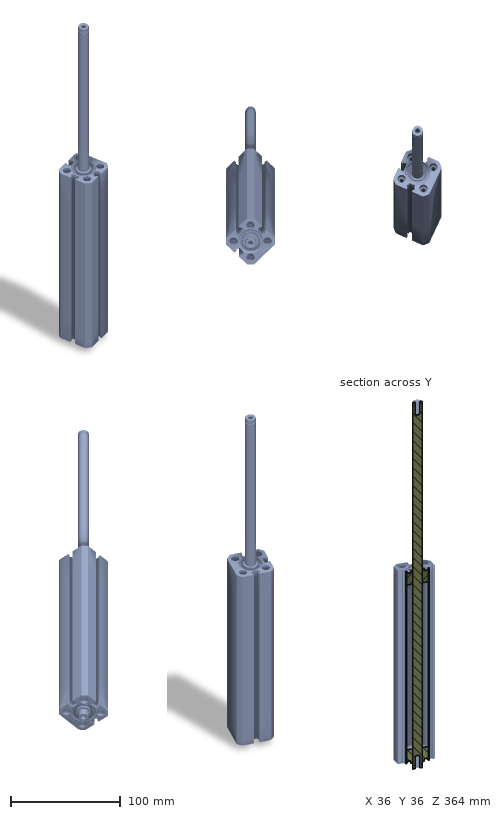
import cadquery as cq
import math

body_width = 36.0
body_length = 192.0
rod_length = 364.0
lower_stickout = 6.0
body_bottom = -body_length / 2
body_top = body_length / 2
rod_bottom = body_bottom - lower_stickout
rod_top = rod_bottom + rod_length

corner_radius = 22.5
bolt_pitch = 22.0
bolt_hole_diameter = 3.4
counterbore_diameter = 7.4
counterbore_depth = 7.0
bore_diameter = 20.8
bore_mouth_diameter = 22.8

slot_mouth_width = 5.4
slot_undercut_width = 7.4
slot_lip = 2.2
front_slot_floor = 12.4
side_slot_floor = 11.6
side_undercut_end = 13.4

ring_recess = 1.5
ring_thickness = 1.0
ring_outer_diameter = 22.0
ring_inner_diameter = 18.6
ring_gap_angle = 30.0
lug_center_radius = 9.5
lug_center_angle = 31.0
lug_diameter = 3.6
lug_hole_diameter = 1.2
cover_length = 12.0
cover_boss_diameter = 14.2

rod_diameter = 10.0
neck_diameter = 9.6
neck_flats_width = 9.0
neck_length = 4.2
taper_length = 0.3
tip_chamfer = 0.2
thread_diameter = 4.2
thread_entry_diameter = 5.4
thread_depth = 12.0
drill_point_angle = 118.0


def cylinder(diameter, bottom, top):
    """A cylinder on the Z axis between two heights."""
    return cq.Workplane("XY", origin=(0, 0, bottom)).circle(diameter / 2).extrude(top - bottom)


def cone(bottom_diameter, top_diameter, bottom, top):
    """A truncated cone on the Z axis between two heights."""
    return (
        cq.Workplane("XY", origin=(0, 0, bottom))
        .circle(bottom_diameter / 2)
        .workplane(offset=top - bottom)
        .circle(top_diameter / 2)
        .loft()
    )


def mirrored(body):
    """The same body at the other end of the housing."""
    return body.mirror("XY")


def slot(floor, undercut_end):
    """A sensor slot in the -Y face, as long as the housing."""
    outside = body_width / 2
    mouth = (
        cq.Workplane("XY", origin=(0, 0, body_bottom))
        .center(0, -(outside + floor) / 2)
        .rect(slot_mouth_width, outside - floor)
        .extrude(body_length)
    )
    undercut_start = outside - slot_lip
    undercut = (
        cq.Workplane("XY", origin=(0, 0, body_bottom))
        .center(0, -(undercut_start + undercut_end) / 2)
        .rect(slot_undercut_width, undercut_start - undercut_end)
        .extrude(body_length)
    )
    return mouth.union(undercut)


def make_housing():
    block = cq.Workplane("XY").box(body_width, body_width, body_length)
    block = block.intersect(cylinder(2 * corner_radius, body_bottom, body_top))
    block = block.cut(slot(front_slot_floor, front_slot_floor))
    side_slot = slot(side_slot_floor, side_undercut_end)
    for turn in (-90, 90):
        block = block.cut(side_slot.rotate((0, 0, 0), (0, 0, 1), turn))

    for face in (">Z", "<Z"):
        block = (
            block.faces(face)
            .workplane(origin=(0, 0, 0))
            .rect(bolt_pitch, bolt_pitch, forConstruction=True)
            .vertices()
            .cboreHole(bolt_hole_diameter, counterbore_diameter, counterbore_depth)
        )

    block = block.cut(cylinder(bore_diameter, body_bottom, body_top))
    mouth_chamfer = (bore_mouth_diameter - bore_diameter) / 2
    mouth = cone(bore_diameter, bore_mouth_diameter, body_top - mouth_chamfer, body_top)
    block = block.cut(mouth).cut(mirrored(mouth))
    ring_top = body_top - ring_recess
    groove = cylinder(ring_outer_diameter, ring_top - ring_thickness, ring_top)
    return block.cut(groove).cut(mirrored(groove))


def make_ring():
    """Upper retaining ring, open towards -Y, with a lug and plier hole at each end."""
    top = body_top - ring_recess
    bottom = top - ring_thickness
    ring = cylinder(ring_outer_diameter, bottom, top).cut(cylinder(ring_inner_diameter, bottom, top))
    lug_x = lug_center_radius * math.sin(math.radians(lug_center_angle))
    lug_y = -lug_center_radius * math.cos(math.radians(lug_center_angle))
    lug_places = [(-lug_x, lug_y), (lug_x, lug_y)]
    plane = cq.Workplane("XY", origin=(0, 0, bottom))
    ring = ring.union(plane.pushPoints(lug_places).circle(lug_diameter / 2).extrude(ring_thickness))
    ring = ring.intersect(cylinder(ring_outer_diameter, bottom, top))
    ring = ring.cut(plane.pushPoints(lug_places).circle(lug_hole_diameter / 2).extrude(ring_thickness))

    half_gap = body_width * math.tan(math.radians(ring_gap_angle / 2))
    gap = plane.polyline([(0, 0), (-half_gap, -body_width), (half_gap, -body_width)]).close()
    return ring.cut(gap.extrude(ring_thickness))


def make_cover():
    """Upper rod cover, seated against the retaining ring, with a boss flush with the housing end."""
    seat = body_top - ring_recess - ring_thickness
    bottom = seat - cover_length
    cover = cylinder(bore_diameter, bottom, seat)
    cover = cover.union(cylinder(cover_boss_diameter, seat, body_top))
    return cover.cut(cylinder(rod_diameter, bottom, body_top))


def make_rod_end():
    """Upper end of the rod: chamfered neck with two flats, and a taper down to the rod."""
    neck_bottom = rod_top - neck_length
    neck = cylinder(neck_diameter, neck_bottom, rod_top).faces(">Z").chamfer(tip_chamfer)
    across_flats = cq.Workplane("XY").box(
        neck_diameter, neck_flats_width, neck_length, centered=(True, True, False)
    )
    neck = neck.intersect(across_flats.translate((0, 0, neck_bottom)))
    taper = cone(rod_diameter, neck_diameter, neck_bottom - taper_length, neck_bottom)
    return neck.union(taper)


def make_center_hole():
    """Threaded hole in the upper end of the rod, with an entry chamfer and a drill point."""
    thread_radius = thread_diameter / 2
    entry_radius = thread_entry_diameter / 2
    entry_bottom = rod_top - (entry_radius - thread_radius)
    full_depth = rod_top - thread_depth
    drill_point = full_depth - thread_radius / math.tan(math.radians(drill_point_angle / 2))
    half_profile = (
        cq.Workplane("XZ")
        .moveTo(0, rod_top)
        .lineTo(entry_radius, rod_top)
        .lineTo(thread_radius, entry_bottom)
        .lineTo(thread_radius, full_depth)
        .lineTo(0, drill_point)
        .close()
    )
    return half_profile.revolve(360, (0, 0), (0, 1))


def make_rod():
    end_length = neck_length + taper_length
    rod = cylinder(rod_diameter, rod_bottom + end_length, rod_top - end_length)
    middle = (0, 0, (rod_top + rod_bottom) / 2)
    upper_end = make_rod_end()
    upper_hole = make_center_hole()
    rod = rod.union(upper_end).union(upper_end.mirror("XY", middle))
    return rod.cut(upper_hole).cut(upper_hole.mirror("XY", middle))


housing = make_housing()
rod = make_rod()
upper_cover = make_cover()
lower_cover = mirrored(upper_cover)
upper_ring = make_ring()
lower_ring = mirrored(upper_ring)

bodies = [housing, rod, upper_cover, lower_cover, upper_ring, lower_ring]
result = cq.Compound.makeCompound([body.val() for body in bodies])